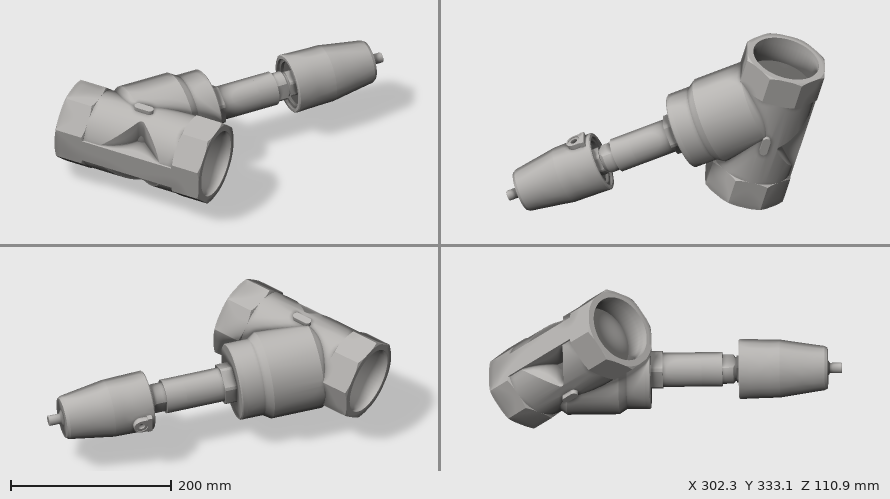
import cadquery as cq
import math


PIPE_LENGTH = 199.8
PIPE_WIDTH = 100.0
PIPE_RADIUS = PIPE_WIDTH / 2
END_LENGTH = 39.0
END_CHAMFER_RADIUS = 50.5
END_CHAMFER_LENGTH = 2.0
BORE_DIAMETER = 85.0
BORE_DEPTH = 36.0
OCTAGON_CORNER_RADIUS = PIPE_RADIUS / math.cos(math.pi / 8)

KEEL_WIDTH = 30.5
POCKET_APEX = (4.3, -14.0)
POCKET_MIDDLE = (-16.0, -37.5)
POCKET_LEFT = (-44.0, -48.5)
POCKET_RIGHT_X = 47.3
POCKET_CORNER_FILLET = 5.5
POCKET_FLOOR_FILLET = 1.3

PAD_LENGTH = 25.3
PAD_WIDTH = 10.0
PAD_TOP = 55.45

BRANCH_ANGLE = 50.0
BRANCH_START_X = -39.8

BRANCH_RADIUS = 55.0
BRANCH_ROOT_RADIUS = 46.5
BRANCH_ROOT_S = 10.0
BRANCH_BOTTOM_S = 21.0
SHOULDER_START_S = 86.0
SHOULDER_END_S = 96.0
FLANGE_RADIUS = 48.5
FLANGE_SPLIT_S = 119.0

FLANGE_TOP_S = 126.0
FLANGE_CHAMFER = 1.3
BONNET_HEX_FLATS = 46.3
BONNET_HEX_TURNED_RADIUS = 25.5
BONNET_HEX_TOP_S = 141.0
TUBE_RADIUS = 21.48
TUBE_SPLIT_S = 189.5

TUBE_TOP_S = 215.0
NECK_RADIUS = 18.3
NECK_FLATS = 30.5
NECK_TOP_S = 231.0
NECK_CHAMFER = 2.3
STEM_RADIUS = 15.0
WRENCH_TURN = -9.5

NUT_BOTTOM_S = 233.0
NUT_FLATS = 32.0
NUT_TURNED_RADIUS = 17.5

ACTUATOR_BOTTOM_S = 235.8
ACTUATOR_BOTTOM_RADIUS = 37.5
ACTUATOR_CHAMFER = 1.3
ACTUATOR_SPLIT_S = 287.0
ACTUATOR_SPLIT_RADIUS = 36.3
RECESS_RADIUS = 32.47
RECESS_STEP_S = 239.0
RECESS_INNER_RADIUS = 28.0
RECESS_FLOOR_S = 243.0

PORT_DIAMETER = 20.0
PORT_FOOT_WIDTH = 22.5
PORT_FOOT_LENGTH = 6.0
PORT_START_S = 241.0
PORT_CENTRE_S = 255.0
PORT_ROOT_T = 33.3
PORT_TOP_T = 42.5
PORT_RING_DIAMETER = 16.0
PORT_RING_DEPTH = 1.0
PORT_HOLE_DIAMETER = 8.5
PORT_HOLE_DEPTH = 6.5

CAP_EDGE_S = 343.0
CAP_EDGE_RADIUS = 27.5
CAP_TOP_S = 346.7
CAP_TOP_RADIUS = 25.3

INDICATOR_BASE_RADIUS = 10.5
INDICATOR_BASE_TOP_S = 349.5
INDICATOR_RADIUS = 6.5
INDICATOR_TOP_S = 364.5
INDICATOR_CHAMFER = 0.5

COS_BRANCH = math.cos(math.radians(BRANCH_ANGLE))
SIN_BRANCH = math.sin(math.radians(BRANCH_ANGLE))
BRANCH_ORIGIN = cq.Vector(BRANCH_START_X, 0, 0)
ALONG = cq.Vector(COS_BRANCH, SIN_BRANCH, 0)
ACROSS = cq.Vector(-SIN_BRANCH, COS_BRANCH, 0)
UP = cq.Vector(0, 0, 1)


def branch_turned(profile):
    """Revolve (s, radius) points, closed through the axis, about the branch axis."""
    points = [(profile[0][0], 0)] + profile + [(profile[-1][0], 0)]
    plane = cq.Plane(BRANCH_ORIGIN, ALONG, UP)
    return cq.Workplane(plane).polyline(points).close().revolve(360, (0, 0), (1, 0))


def branch_cross_section(s):
    """Workplane across the branch axis: local x is t, local y is Z."""
    return cq.Workplane(cq.Plane(BRANCH_ORIGIN + ALONG * s, ACROSS, ALONG))


def turned_hexagon(bottom_s, top_s, flats, turned_radius, turn):
    """Hexagonal prism with two flats facing +-t before the turn, and its corners turned off."""
    height = top_s - bottom_s
    corner_diameter = flats / math.cos(math.pi / 6)
    hexagon = (
        branch_cross_section(bottom_s)
        .transformed(rotate=(0, 0, 30 + turn))
        .polygon(6, corner_diameter)
        .extrude(height)
    )
    return hexagon.intersect(branch_cross_section(bottom_s).circle(turned_radius).extrude(height))


def pipe_end(sign):
    """Octagonal pipe end with its corners turned off on both faces."""
    half = PIPE_LENGTH / 2
    inner_x = half - END_LENGTH
    octagon = (
        cq.Workplane("YZ", origin=(inner_x, 0, 0))
        .transformed(rotate=(0, 0, 22.5))
        .polygon(8, 2 * OCTAGON_CORNER_RADIUS)
        .extrude(END_LENGTH)
    )
    envelope = (
        cq.Workplane("XY")
        .polyline([
            (inner_x, 0),
            (inner_x, END_CHAMFER_RADIUS),
            (inner_x + END_CHAMFER_LENGTH, OCTAGON_CORNER_RADIUS),
            (half - END_CHAMFER_LENGTH, OCTAGON_CORNER_RADIUS),
            (half, END_CHAMFER_RADIUS),
            (half, 0),
        ])
        .close()
        .revolve(360, (0, 0), (1, 0))
    )
    end = octagon.intersect(envelope)
    return end if sign > 0 else end.mirror("YZ")


def pocket(sign):
    """Three-sided pocket that reaches from the keel side out through the pipe wall."""
    right_drop = (POCKET_RIGHT_X - POCKET_APEX[0]) * COS_BRANCH / SIN_BRANCH
    right_point = (POCKET_RIGHT_X, POCKET_APEX[1] - right_drop)
    below = -PIPE_WIDTH
    cutter = (
        cq.Workplane("XY", origin=(0, 0, KEEL_WIDTH / 2))
        .moveTo(*POCKET_APEX)
        .threePointArc(POCKET_MIDDLE, POCKET_LEFT)
        .lineTo(POCKET_LEFT[0], below)
        .lineTo(POCKET_RIGHT_X, below)
        .lineTo(*right_point)
        .close()
        .extrude(PIPE_RADIUS)
    )
    apex_edge = cq.selectors.NearestToPointSelector((*POCKET_APEX, KEEL_WIDTH / 2 + PIPE_RADIUS / 2))
    cutter = cutter.edges("|Z").edges(apex_edge).fillet(POCKET_CORNER_FILLET)
    cutter = cutter.edges("<Z").fillet(POCKET_FLOOR_FILLET)
    return cutter if sign > 0 else cutter.mirror("XY")


def make_housing():
    half = PIPE_LENGTH / 2
    middle_length = PIPE_LENGTH - 2 * END_LENGTH
    keel_length = middle_length + 2 * END_CHAMFER_LENGTH
    pipe = cq.Workplane("YZ", origin=(-middle_length / 2, 0, 0)).circle(PIPE_RADIUS).extrude(middle_length)
    keel = cq.Workplane("XY").box(keel_length, PIPE_RADIUS, KEEL_WIDTH).translate((0, -PIPE_RADIUS / 2, 0))
    housing = pipe.union(keel)
    for sign in (1, -1):
        housing = housing.cut(pocket(sign))
    branch = branch_turned([
        (BRANCH_ROOT_S, BRANCH_ROOT_RADIUS),
        (BRANCH_BOTTOM_S, BRANCH_RADIUS),
        (SHOULDER_START_S, BRANCH_RADIUS),
        (SHOULDER_END_S, FLANGE_RADIUS),
        (FLANGE_SPLIT_S, FLANGE_RADIUS),
    ])
    pads = cq.Workplane("XY").slot2D(PAD_LENGTH, PAD_WIDTH).extrude(PAD_TOP, both=True)
    housing = housing.union(branch).union(pads)
    for sign in (1, -1):
        housing = housing.union(pipe_end(sign))
    for sign in (1, -1):
        bore = cq.Workplane("YZ", origin=(sign * half, 0, 0)).circle(BORE_DIAMETER / 2).extrude(-sign * BORE_DEPTH)
        housing = housing.cut(bore)
    return housing


def make_bonnet():
    flange = branch_turned([
        (FLANGE_SPLIT_S, FLANGE_RADIUS),
        (FLANGE_TOP_S - FLANGE_CHAMFER, FLANGE_RADIUS),
        (FLANGE_TOP_S, FLANGE_RADIUS - FLANGE_CHAMFER),
    ])
    tube = branch_turned([(FLANGE_TOP_S, TUBE_RADIUS), (TUBE_SPLIT_S, TUBE_RADIUS)])
    hexagon = turned_hexagon(
        FLANGE_TOP_S, BONNET_HEX_TOP_S, BONNET_HEX_FLATS, BONNET_HEX_TURNED_RADIUS, 0
    )
    return flange.union(hexagon).union(tube)


def make_spacer():
    neck = branch_turned([
        (TUBE_TOP_S, NECK_RADIUS),
        (NECK_TOP_S - NECK_CHAMFER, NECK_RADIUS),
        (NECK_TOP_S, NECK_RADIUS - NECK_CHAMFER),
    ])
    between_flats = (
        branch_cross_section(TUBE_TOP_S)
        .transformed(rotate=(0, 0, WRENCH_TURN))
        .rect(NECK_FLATS, 2 * NECK_RADIUS)
        .extrude(NECK_TOP_S - TUBE_TOP_S)
    )
    tube = branch_turned([(TUBE_SPLIT_S, TUBE_RADIUS), (TUBE_TOP_S, TUBE_RADIUS)])
    stem = branch_turned([(NECK_TOP_S, STEM_RADIUS), (NUT_BOTTOM_S, STEM_RADIUS)])
    return tube.union(neck.intersect(between_flats)).union(stem)


def make_nut():
    return turned_hexagon(NUT_BOTTOM_S, RECESS_FLOOR_S, NUT_FLATS, NUT_TURNED_RADIUS, WRENCH_TURN)


def make_actuator():
    shell = branch_turned([
        (ACTUATOR_BOTTOM_S, ACTUATOR_BOTTOM_RADIUS - ACTUATOR_CHAMFER),
        (ACTUATOR_BOTTOM_S + ACTUATOR_CHAMFER, ACTUATOR_BOTTOM_RADIUS),
        (ACTUATOR_SPLIT_S, ACTUATOR_SPLIT_RADIUS),
    ])
    recess = branch_turned([
        (ACTUATOR_BOTTOM_S, RECESS_RADIUS),
        (RECESS_STEP_S, RECESS_RADIUS),
        (RECESS_STEP_S, RECESS_INNER_RADIUS),
        (RECESS_FLOOR_S, RECESS_INNER_RADIUS),
    ])
    return shell.union(port_block()).cut(recess).cut(port_opening())


def port_plane(t):
    """Workplane facing outwards on the port side: local x is s, from the port centre."""
    centre = BRANCH_ORIGIN + ALONG * PORT_CENTRE_S + ACROSS * t
    return cq.Workplane(cq.Plane(centre, ALONG, ACROSS))


def port_block():
    """Round boss joined by a straight neck to a wider foot at its lower end."""
    height = PORT_TOP_T - PORT_ROOT_T
    straight = PORT_CENTRE_S - PORT_START_S
    foot_centre = PORT_FOOT_LENGTH / 2 - straight
    base = port_plane(PORT_ROOT_T)
    boss = base.circle(PORT_DIAMETER / 2).extrude(height)
    neck = base.center(-straight / 2, 0).rect(straight, PORT_DIAMETER).extrude(height)
    foot = base.center(foot_centre, 0).rect(PORT_FOOT_LENGTH, PORT_FOOT_WIDTH).extrude(height)
    return boss.union(neck).union(foot)


def port_opening():
    ring = port_plane(PORT_TOP_T).circle(PORT_RING_DIAMETER / 2).extrude(-PORT_RING_DEPTH)
    hole = port_plane(PORT_TOP_T).circle(PORT_HOLE_DIAMETER / 2).extrude(-PORT_HOLE_DEPTH)
    return ring.union(hole)


def make_cap():
    return branch_turned([
        (ACTUATOR_SPLIT_S, ACTUATOR_SPLIT_RADIUS),
        (CAP_EDGE_S, CAP_EDGE_RADIUS),
        (CAP_TOP_S, CAP_TOP_RADIUS),
    ])


def make_indicator():
    return branch_turned([
        (CAP_TOP_S, INDICATOR_BASE_RADIUS),
        (INDICATOR_BASE_TOP_S, INDICATOR_RADIUS),
        (INDICATOR_TOP_S - INDICATOR_CHAMFER, INDICATOR_RADIUS),
        (INDICATOR_TOP_S, INDICATOR_RADIUS - INDICATOR_CHAMFER),
    ])


housing = make_housing()
bonnet = make_bonnet()
spacer = make_spacer()
nut = make_nut()
actuator = make_actuator()
cap = make_cap()
indicator = make_indicator()

result = cq.Compound.makeCompound([
    housing.val(),
    bonnet.val(),
    spacer.val(),
    nut.val(),
    actuator.val(),
    cap.val(),
    indicator.val(),
])